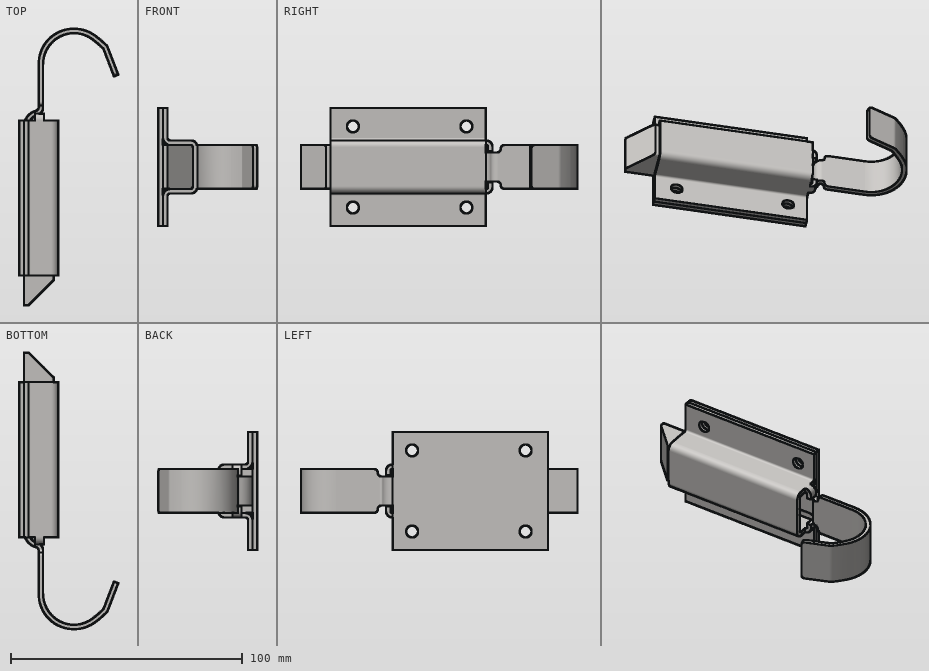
import cadquery as cq
import math


overall_length = 119.4

sheet = 2.0
inner_bend = 1.0
mid_bend = inner_bend + sheet / 2

plate_length = 67.0
plate_width = 51.0
hole_diameter = 5.0
hole_pitch_y = 49.0
hole_pitch_z = 35.0
hole_center_y = 34.2

bolt_width = 19.0
bolt_depth = 12.9
bolt_protrusion = 12.8
bolt_back_y = plate_length / 2
nose_flat = 2.0

tab_x = 6.8
tab_width = 4.0
tab_clearance = 0.4

neck_width = 12.7
neck_turn = 75.0
neck_end_y = 72.6
neck_end_inner_bend = 1.4
hook_x = 8.4
hook_shoulder_y = 73.5
hook_top_y = overall_length - bolt_protrusion
hook_radius = 15.3
hook_corner = 1.5
hook_turn = 126.0
flat_arc_radius = 41.8
flat_arc_turn = 9.0
tip_turn = 24.0
tip_length = 12.5

housing_width = bolt_width + 2 * sheet
bolt_front_x = sheet + bolt_depth


def polar(point, angle, distance):
    """Point at a distance from another, in a direction given in degrees."""
    turn = math.radians(angle)
    return (point[0] + distance * math.cos(turn), point[1] + distance * math.sin(turn))


def bent_sheet(plane, start, heading, steps):
    """Closed outline of a sheet whose middle line follows the steps.

    ("line", length) goes straight; ("bend", radius, turn) curves, with a positive turn to the left.
    """
    half = sheet / 2
    position = start
    left_points = [polar(start, heading + 90, half)]
    right_points = [polar(start, heading - 90, half)]
    left_middles = []
    right_middles = []
    for step in steps:
        if step[0] == "line":
            position = polar(position, heading, step[1])
            middle = None
        else:
            radius, turn = step[1:]
            to_center = heading + math.copysign(90, turn)
            center = polar(position, to_center, radius)
            middle = polar(center, to_center + 180 + turn / 2, radius)
            position = polar(center, to_center + 180 + turn, radius)
            middle_heading = heading + turn / 2
            heading += turn
        left_points.append(polar(position, heading + 90, half))
        right_points.append(polar(position, heading - 90, half))
        left_middles.append(middle and polar(middle, middle_heading + 90, half))
        right_middles.append(middle and polar(middle, middle_heading - 90, half))

    outline = cq.Workplane(plane).moveTo(*left_points[0])
    for middle, end in zip(left_middles, left_points[1:]):
        outline = outline.threePointArc(middle, end) if middle else outline.lineTo(*end)
    outline = outline.lineTo(*right_points[-1])
    for middle, end in zip(right_middles[::-1], right_points[-2::-1]):
        outline = outline.threePointArc(middle, end) if middle else outline.lineTo(*end)
    return outline.close()


def mounting_holes():
    """Four cylinders through the back plate and the housing flanges."""
    return (
        cq.Workplane("YZ")
        .center(hole_center_y, 0)
        .rect(hole_pitch_y, hole_pitch_z, forConstruction=True)
        .vertices()
        .circle(hole_diameter / 2)
        .extrude(2 * sheet)
    )


def make_plate():
    """Flat rectangular plate with four mounting holes."""
    plate = cq.Workplane("XY").box(sheet, plate_length, plate_width, centered=(False, False, True))
    return plate.cut(mounting_holes())


def make_tab():
    """Strip bent from the upper housing wall toward the neck, across the rear opening."""
    wall_middle_z = (housing_width - sheet) / 2
    tab_end_z = neck_width / 2 + tab_clearance
    steps = [
        ("bend", mid_bend, -90),
        ("line", wall_middle_z - mid_bend - tab_end_z),
    ]
    tab = bent_sheet("YZ", (plate_length, wall_middle_z), 0, steps).extrude(tab_width)
    return tab.translate((tab_x, 0, 0))


def make_housing():
    """Hat-shaped channel with two flanges on the plate and two retaining tabs."""
    flange_length = (plate_width - housing_width) / 2 + sheet / 2 - mid_bend
    wall_length = bolt_depth - 2 * mid_bend
    crown_length = bolt_width + sheet - 2 * mid_bend
    steps = [
        ("line", flange_length),
        ("bend", mid_bend, -90),
        ("line", wall_length),
        ("bend", mid_bend, 90),
        ("line", crown_length),
        ("bend", mid_bend, 90),
        ("line", wall_length),
        ("bend", mid_bend, -90),
        ("line", flange_length),
    ]
    start = (1.5 * sheet, -plate_width / 2)
    channel = bent_sheet("XZ", start, 90, steps).extrude(-plate_length)
    tab = make_tab()
    return channel.union(tab).union(tab.mirror("XY")).cut(mounting_holes())


def make_bolt_block():
    """Bolt with a 45 degree nose, rounded to fit the inner bends of the housing."""
    nose_y = -bolt_protrusion
    slope = bolt_depth - nose_flat
    block = (
        cq.Workplane("XY")
        .polyline([
            (sheet, bolt_back_y),
            (sheet, nose_y),
            (sheet + nose_flat, nose_y),
            (bolt_front_x, nose_y + slope),
            (bolt_front_x, bolt_back_y),
        ])
        .close()
        .extrude(bolt_width / 2, both=True)
    )
    return block.faces(">X").edges("|Y").fillet(inner_bend)


def make_pull_strip():
    """Strip running from the bolt through the narrow neck into the round hook."""
    neck_offset = hook_x - sheet
    radius_sum = neck_offset / (1 - math.cos(math.radians(neck_turn)))
    neck_end_radius = neck_end_inner_bend + sheet / 2
    neck_start_radius = radius_sum - neck_end_radius
    neck_start_y = neck_end_y - radius_sum * math.sin(math.radians(neck_turn))
    hook_center_y = hook_top_y - hook_radius
    steps = [
        ("line", neck_start_y - bolt_back_y),
        ("bend", neck_start_radius, -neck_turn),
        ("bend", neck_end_radius, neck_turn),
        ("line", hook_center_y - neck_end_y),
        ("bend", hook_radius - sheet / 2, -hook_turn),
        ("bend", flat_arc_radius - sheet / 2, -flat_arc_turn),
        ("bend", mid_bend, -tip_turn),
        ("line", tip_length),
    ]
    strip = bent_sheet("XY", (1.5 * sheet, bolt_back_y), 90, steps).extrude(bolt_width / 2, both=True)
    beyond_tip = (hook_x + 2 * hook_radius, hook_shoulder_y, 0)
    tip_face = strip.faces(cq.selectors.NearestToPointSelector(beyond_tip))
    strip = tip_face.edges("not |Z").fillet(hook_corner)
    return strip.intersect(pull_silhouette())


def pull_silhouette():
    """Broad hook and narrow neck with rounded shoulders, as a prism along X."""
    prism_depth = hook_x + 3 * hook_radius
    neck_length = hook_top_y - bolt_back_y
    hook_length = hook_top_y - hook_shoulder_y
    wide = cq.Workplane("XY").box(prism_depth, hook_length, bolt_width, centered=(False, False, True))
    wide = wide.translate((0, hook_shoulder_y, 0)).faces("<Y").edges("|X").fillet(hook_corner)
    narrow = cq.Workplane("XY").box(prism_depth, neck_length, neck_width, centered=(False, False, True))
    narrow = narrow.translate((0, bolt_back_y, 0))
    root = cq.selectors.BoxSelector(
        (0, hook_shoulder_y - sheet / 2, -neck_width),
        (prism_depth, hook_shoulder_y + sheet / 2, neck_width),
    )
    return wide.union(narrow).edges("|X").edges(root).fillet(hook_corner)


def make_bolt():
    """Bolt and pull hook as one solid."""
    return make_bolt_block().union(make_pull_strip())


plate = make_plate()
housing = make_housing()
bolt = make_bolt()

result = cq.Compound.makeCompound([plate.val(), housing.val(), bolt.val()])